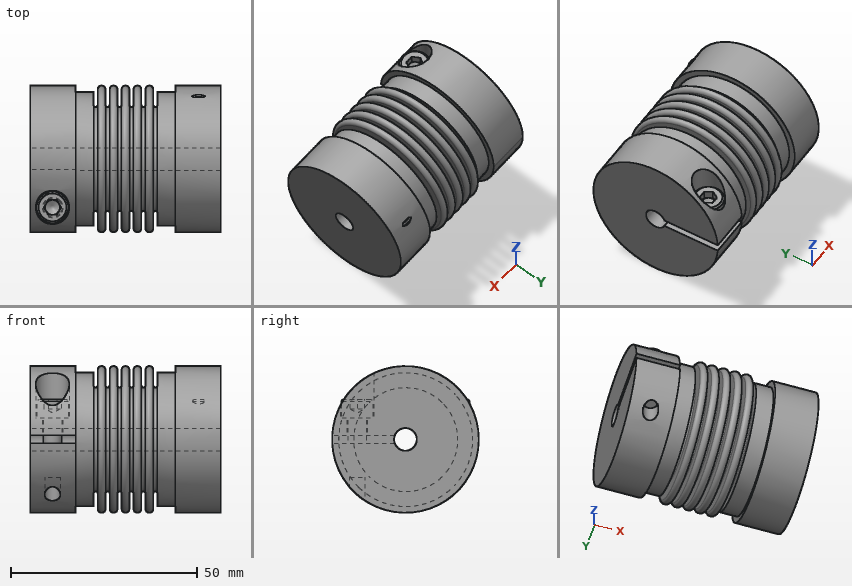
import cadquery as cq
import math

length = 51.2
outer_diameter = 39.5
hub_length = 12.25
collar_diameter = 36.0
collar_length = 4.8
bore_diameter = 6.05

ring_count = 5
ring_thickness = 2.15
bellows_root_diameter = 27.95

slot_width = 2.15
clamp_x = 6.0
clamp_y = 13.0
counterbore_diameter = 9.0
clearance_diameter = 5.5
tapped_diameter = 4.2

screw_diameter = 5.0
screw_length = 16.0
head_diameter = 8.5
head_height = 5.0
head_chamfer = 0.5
head_top_z = 10.8
socket_across_flats = 4.0
socket_depth = 2.5
socket_tip_angle = 120.0

outer_radius = outer_diameter / 2
collar_radius = collar_diameter / 2
head_seat_z = head_top_z - head_height
collar_end_x = hub_length + collar_length
bellows_length = length - 2 * collar_end_x
valley_width = (bellows_length - ring_count * ring_thickness) / (ring_count + 1)


def cylinder_z(diameter, x, y, bottom_z, top_z):
    """Upright cylinder between two heights."""
    base = cq.Workplane("XY", origin=(x, y, bottom_z))
    return base.circle(diameter / 2).extrude(top_z - bottom_z)


def turned_body():
    """Hubs, collars and bellows as one revolved half profile."""
    ring_radius = ring_thickness / 2
    valley_radius = valley_width / 2
    ring_center_r = outer_radius - ring_radius
    valley_bottom_r = bellows_root_diameter / 2
    valley_center_r = valley_bottom_r + valley_radius

    profile = (
        cq.Workplane("XY")
        .moveTo(0, 0)
        .lineTo(0, outer_radius)
        .lineTo(hub_length, outer_radius)
        .lineTo(hub_length, collar_radius)
        .lineTo(collar_end_x, collar_radius)
    )
    x = collar_end_x
    for index in range(ring_count + 1):
        profile = profile.lineTo(x, valley_center_r)
        valley_end = (x + valley_width, valley_center_r)
        profile = profile.threePointArc((x + valley_radius, valley_bottom_r), valley_end)
        x += valley_width
        if index < ring_count:
            profile = profile.lineTo(x, ring_center_r)
            ring_end = (x + ring_thickness, ring_center_r)
            profile = profile.threePointArc((x + ring_radius, outer_radius), ring_end)
            x += ring_thickness

    profile = (
        profile.lineTo(length - collar_end_x, collar_radius)
        .lineTo(length - hub_length, collar_radius)
        .lineTo(length - hub_length, outer_radius)
        .lineTo(length, outer_radius)
        .lineTo(length, 0)
        .close()
    )
    return profile.revolve(360, (0, 0, 0), (1, 0, 0))


def clamp_slot():
    """Radial slot from the bore out through the -Y side of the first hub."""
    start = cq.Workplane("XY", origin=(0, -outer_radius, 0))
    return start.box(hub_length, outer_radius, slot_width, centered=(False, False, True))


def screw_hole():
    """Counterbore above, clearance hole to the slot, tapped hole out of the bottom."""
    counterbore = cylinder_z(counterbore_diameter, clamp_x, -clamp_y, head_seat_z, outer_radius)
    clearance = cylinder_z(clearance_diameter, clamp_x, -clamp_y, 0, head_seat_z)
    tapped = cylinder_z(tapped_diameter, clamp_x, -clamp_y, -outer_radius, 0)
    return counterbore.union(clearance).union(tapped)


def screw_head(x, y):
    """Cylindrical head with a chamfered top rim."""
    head = cylinder_z(head_diameter, x, y, head_seat_z, head_top_z)
    return head.faces(">Z").chamfer(head_chamfer)


def socket(x, y):
    """Hexagonal recess ending in a drilled conical tip."""
    across_corners = socket_across_flats / math.cos(math.pi / 6)
    tip_radius = socket_across_flats / 2
    tip_height = tip_radius / math.tan(math.radians(socket_tip_angle / 2))
    floor_z = head_top_z - socket_depth
    hexagon = (
        cq.Workplane("XY", origin=(x, y, floor_z))
        .polygon(6, across_corners)
        .extrude(socket_depth)
    )
    floor_center = cq.Vector(x, y, floor_z)
    tip = cq.Solid.makeCone(tip_radius, 0, tip_height, floor_center, cq.Vector(0, 0, -1))
    return hexagon.union(cq.Workplane(tip))


def clamp_screw(x, y):
    """Socket head screw whose shank crosses the slot into the lower jaw."""
    shank = cylinder_z(screw_diameter, x, y, head_seat_z - screw_length, head_seat_z)
    return screw_head(x, y).union(shank).cut(socket(x, y))


bore = cq.Workplane("YZ").circle(bore_diameter / 2).extrude(length)

result = turned_body().cut(bore).cut(clamp_slot()).cut(screw_hole())
result = result.union(clamp_screw(clamp_x, -clamp_y))

result = result.union(screw_head(length - clamp_x, clamp_y))